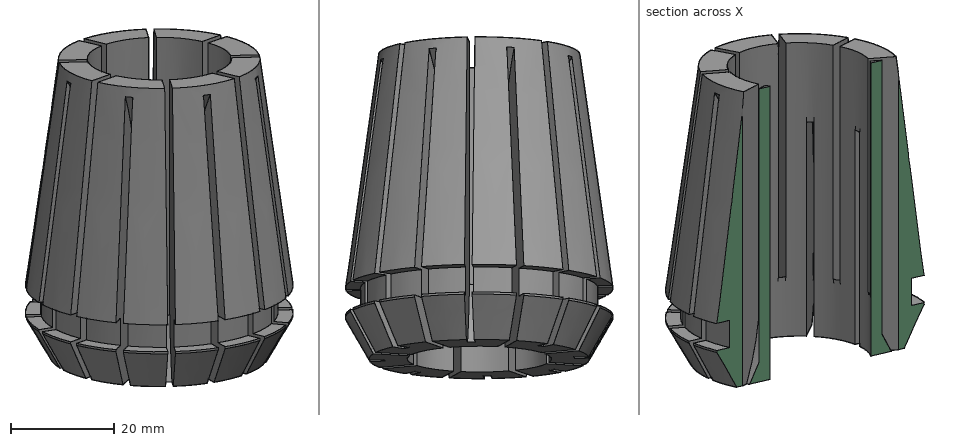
import cadquery as cq
import math

height = 60.0
outer_radius = 26.0
top_radius = 19.55
bottom_radius = 21.35
bore_radius = 14.0

taper_start = 14.0
groove_radius = 23.05
flange_top = 8.5
nose_top = 8.1

slots_per_set = 8
slot_pitch = 360.0 / slots_per_set
slot_width = 1.5
cutter_radius = 36.0
slot_root_radius = 13.45
lower_slot_end = 58.1
upper_slot_exit = 18.5

cutter_path_radius = slot_root_radius + cutter_radius


def turned_body():
    profile = [
        (bore_radius, 0),
        (bottom_radius, 0),
        (outer_radius, nose_top),
        (outer_radius, flange_top),
        (groove_radius, flange_top),
        (groove_radius, taper_start),
        (outer_radius, taper_start),
        (top_radius, height),
        (bore_radius, height),
    ]
    return cq.Workplane("XZ").polyline(profile).close().revolve(360, (0, 0), (0, 1))


def taper_radius_at(z):
    """Outer radius of the long taper at height z."""
    fraction = (z - taper_start) / (height - taper_start)
    return outer_radius + fraction * (top_radius - outer_radius)


def cutter_rise(radius):
    """Axial distance from the cutter centre to its edge at the given part radius."""
    return math.sqrt(cutter_radius**2 - (cutter_path_radius - radius) ** 2)


def saw_cut(centre_height, far_height):
    """Sweep of a disc cutter from far_height to centre_height, leaving a curved run-out."""
    disc = (
        cq.Workplane("XZ")
        .center(cutter_path_radius, centre_height)
        .circle(cutter_radius)
        .extrude(slot_width / 2, both=True)
    )
    straight = (
        cq.Workplane("XZ")
        .moveTo(slot_root_radius, centre_height)
        .lineTo(cutter_path_radius, centre_height)
        .lineTo(cutter_path_radius, far_height)
        .lineTo(slot_root_radius, far_height)
        .close()
        .extrude(slot_width / 2, both=True)
    )
    return disc.union(straight)


def cut_slots(body, cutter, first_angle):
    for index in range(slots_per_set):
        angle = first_angle + index * slot_pitch
        body = body.cut(cutter.rotate((0, 0, 0), (0, 0, 1), angle))
    return body


lower_centre = lower_slot_end - cutter_rise(taper_radius_at(lower_slot_end))
upper_centre = cutter_rise(upper_slot_exit)

result = turned_body()
result = cut_slots(result, saw_cut(lower_centre, 0), 0)
result = cut_slots(result, saw_cut(upper_centre, height), slot_pitch / 2)